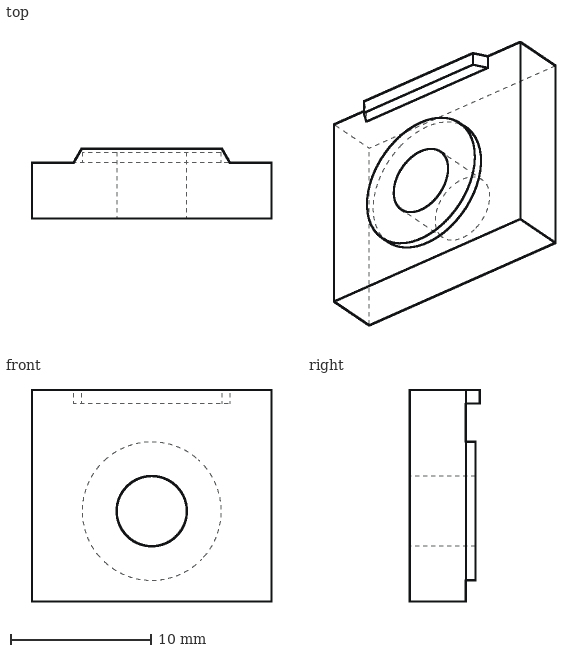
import cadquery as cq
import math

width = 17.1
height = 15.1
overall_depth = 5.0
lip_size = 1.0
plate_depth = overall_depth - lip_size

hole_diameter = 5.0
hole_height = 6.45
boss_diameter = 9.9
boss_projection = 0.7

lip_base_width = 11.15
lip_flank_angle = 60.0


def back_cylinder(diameter, start, length):
    """Cylinder on the hole axis, running from Y = start towards +Y."""
    centre = cq.Vector(0, start, hole_height)
    return cq.Workplane(cq.Solid.makeCylinder(diameter / 2, length, centre, cq.Vector(0, 1, 0)))


def tapered_lip():
    """Trapezoidal lip, flush with the top of the plate."""
    half_base = lip_base_width / 2
    half_tip = half_base - lip_size / math.tan(math.radians(lip_flank_angle))
    outline = [
        (-half_base, plate_depth),
        (half_base, plate_depth),
        (half_tip, overall_depth),
        (-half_tip, overall_depth),
    ]
    return cq.Workplane("XY", origin=(0, 0, height - lip_size)).polyline(outline).close().extrude(lip_size)


plate = cq.Workplane("XY").box(width, plate_depth, height, centered=(True, False, False))
boss = back_cylinder(boss_diameter, plate_depth, boss_projection)
hole = back_cylinder(hole_diameter, 0, overall_depth)

result = plate.union(boss).union(tapered_lip()).cut(hole)